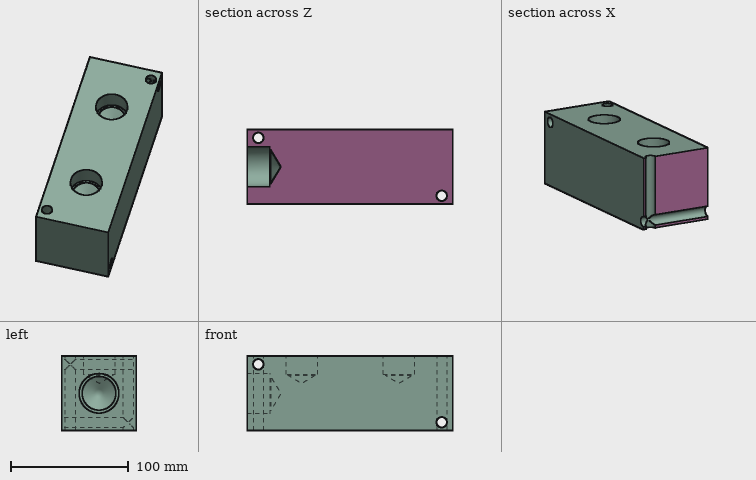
import cadquery as cq
import math

length = 174.6
side = 63.5

mount_diameter = 8.7
mount_end_inset = 9.5
mount_edge_inset = 7.2

drill_tip_angle = 118.0
top_mouth_diameter = 26.9
top_mouth_depth = 15.7
top_drill_diameter = 23.0
top_drill_depth = 16.2
top_port_spacing = 82.6
end_mouth_diameter = 33.7
end_mouth_depth = 19.0
end_drill_diameter = 28.6
end_drill_depth = 19.9


def port_cutter(mouth_diameter, mouth_depth, drill_diameter, drill_depth):
    """Stepped hole with a conical bottom, opening at the origin and running down -Z."""
    mouth_radius = mouth_diameter / 2
    drill_radius = drill_diameter / 2
    tip_height = drill_radius / math.tan(math.radians(drill_tip_angle / 2))
    return (
        cq.Workplane("XZ")
        .moveTo(0, 0)
        .lineTo(mouth_radius, 0)
        .lineTo(mouth_radius, -mouth_depth)
        .lineTo(drill_radius, -mouth_depth)
        .lineTo(drill_radius, -drill_depth)
        .lineTo(0, -drill_depth - tip_height)
        .close()
        .revolve(360, (0, 0, 0), (0, 1, 0))
    )


mount_x = length / 2 - mount_end_inset
mount_offset = side / 2 - mount_edge_inset
mount_points = [(-mount_x, mount_offset), (mount_x, -mount_offset)]

result = cq.Workplane("XY").box(length, side, side)

for plane in ("XY", "XZ"):
    mount_pins = (
        cq.Workplane(plane)
        .pushPoints(mount_points)
        .circle(mount_diameter / 2)
        .extrude(side, both=True)
    )
    result = result.cut(mount_pins)

top_port = port_cutter(top_mouth_diameter, top_mouth_depth, top_drill_diameter, top_drill_depth)
for port_x in (-top_port_spacing / 2, top_port_spacing / 2):
    result = result.cut(top_port.translate((port_x, 0, side / 2)))

end_port = (
    port_cutter(end_mouth_diameter, end_mouth_depth, end_drill_diameter, end_drill_depth)
    .rotate((0, 0, 0), (0, 1, 0), -90)
    .translate((-length / 2, 0, 0))
)
result = result.cut(end_port)